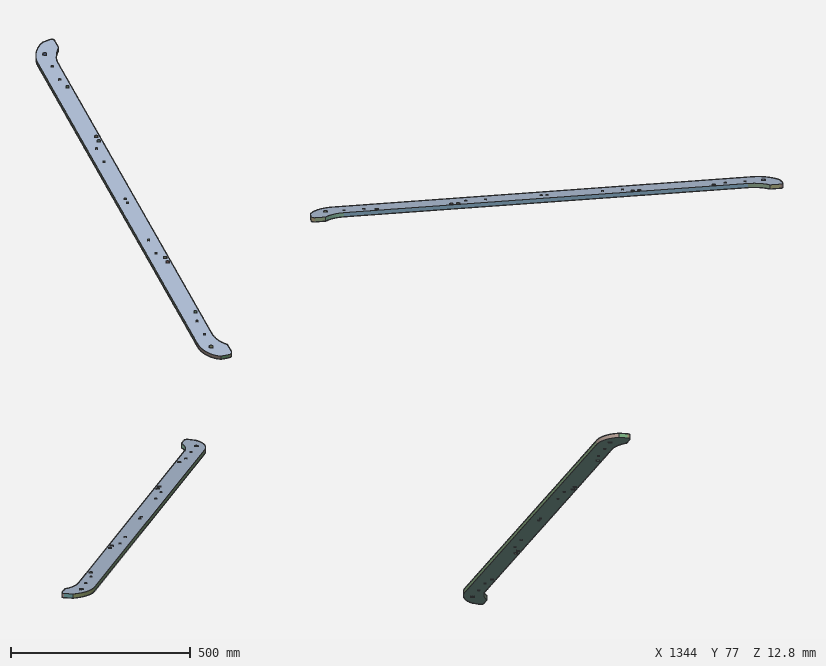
import cadquery as cq
import math

length = 1344.0
height = 77.0
thickness = 12.8
bar_width = 52.0
half_length = length / 2

outer_radius = 80.0
outer_tangent_x = 598.0
outer_end_x = 669.0
inner_radius = 80.0
inner_tangent_x = 575.0
corner_radius = 10.0

large_diameter = 11.2
medium_diameter = 9.5
small_diameter = 6.3
large_holes = [(623.0, 31.0)]
medium_holes = [(480.0, 42.0), (267.0, 43.0), (249.0, 43.0)]
small_holes = [(571.0, 32.0), (515.0, 32.0), (223.0, 26.2), (167.0, 26.2), (8.0, 26.2)]


def make_half():
    """Right half of the bar, from the middle plane to the upturned end."""
    outer_run = outer_end_x - outer_tangent_x
    outer_rise = outer_radius - math.sqrt(outer_radius**2 - outer_run**2)
    inner_rise = height - bar_width
    inner_run = math.sqrt(inner_radius**2 - (inner_radius - inner_rise) ** 2)
    return (
        cq.Workplane("XY")
        .lineTo(outer_tangent_x, 0)
        .radiusArc((outer_end_x, outer_rise), -outer_radius)
        .lineTo(half_length, height - corner_radius)
        .radiusArc((half_length - corner_radius, height), -corner_radius)
        .lineTo(inner_tangent_x + inner_run, height)
        .radiusArc((inner_tangent_x, bar_width), inner_radius)
        .lineTo(0, bar_width)
        .close()
        .extrude(thickness)
    )


def drill(body, diameter, places):
    """Drill mirrored pairs of through holes."""
    mirrored = [(side * x, y) for side in (-1, 1) for x, y in places]
    cutter = cq.Workplane("XY").pushPoints(mirrored).circle(diameter / 2).extrude(thickness)
    return body.cut(cutter)


half = make_half()
result = half.union(half.mirror("YZ"))
result = drill(result, large_diameter, large_holes)
result = drill(result, medium_diameter, medium_holes)
result = drill(result, small_diameter, small_holes)